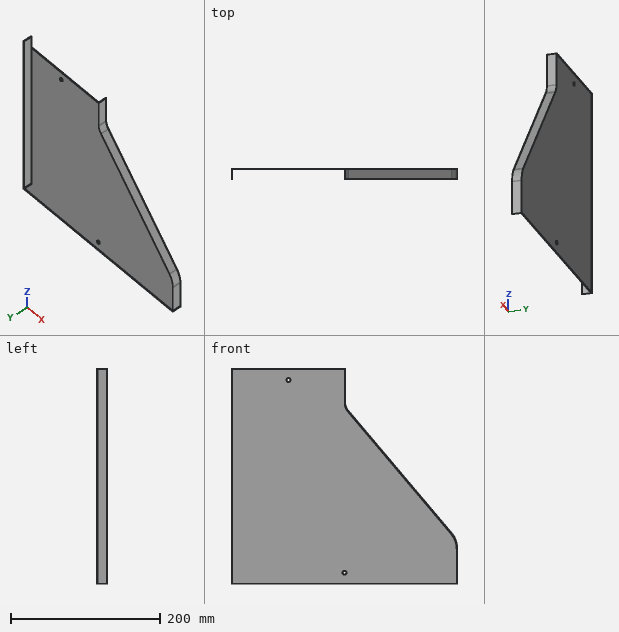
import cadquery as cq
import math

sheet = 1.0
base_width = 300.0
top_width = 150.0
height = 288.0
flange_depth = 14.0
upper_corner_drop = 51.4
lower_corner_rise = 59.0
convex_radius = 30.5
concave_radius = 18.0
hole_diameter = 5.0
hole_inset = 15.0

outer_base = base_width + 2 * sheet
outer_top = top_width + 2 * sheet
slope_angle = math.atan2(outer_base - outer_top, height - upper_corner_drop - lower_corner_rise)


def panel_outline(inset):
    """Panel outline on XZ, with both sides moved inward by the inset."""
    corner_shift = inset * math.tan(slope_angle / 2)
    left = inset
    right_base = outer_base - inset
    right_top = outer_top - inset
    lower_corner_z = lower_corner_rise - corner_shift
    upper_corner_z = height - upper_corner_drop - corner_shift
    convex = convex_radius + sheet - inset
    concave = concave_radius + inset

    sin_slope = math.sin(slope_angle)
    cos_slope = math.cos(slope_angle)
    sin_half = math.sin(slope_angle / 2)
    cos_half = math.cos(slope_angle / 2)

    convex_tangent = convex * math.tan(slope_angle / 2)
    convex_centre = (right_base - convex, lower_corner_z - convex_tangent)
    convex_start = (right_base, convex_centre[1])
    convex_mid = (convex_centre[0] + convex * cos_half, convex_centre[1] + convex * sin_half)
    convex_end = (convex_centre[0] + convex * cos_slope, convex_centre[1] + convex * sin_slope)

    concave_tangent = concave * math.tan(slope_angle / 2)
    concave_centre = (right_top + concave, upper_corner_z + concave_tangent)
    concave_start = (concave_centre[0] - concave * cos_slope, concave_centre[1] - concave * sin_slope)
    concave_mid = (concave_centre[0] - concave * cos_half, concave_centre[1] - concave * sin_half)
    concave_end = (right_top, concave_centre[1])

    return (
        cq.Workplane("XZ")
        .moveTo(left, 0)
        .lineTo(right_base, 0)
        .lineTo(*convex_start)
        .threePointArc(convex_mid, convex_end)
        .lineTo(*concave_start)
        .threePointArc(concave_mid, concave_end)
        .lineTo(right_top, height)
        .lineTo(left, height)
        .close()
    )


def flanged_panel():
    """Flat sheet at the back, with flanges standing forward along both sides."""
    block = panel_outline(0).extrude(flange_depth)
    space_between_flanges = panel_outline(sheet).extrude(flange_depth - sheet)
    return block.cut(space_between_flanges.translate((0, -sheet, 0)))


def mounting_holes():
    """One through hole centred near the top edge and one near the bottom edge."""
    centres = [
        (outer_top / 2, height - hole_inset),
        (outer_base / 2, hole_inset),
    ]
    return cq.Workplane("XZ").pushPoints(centres).circle(hole_diameter / 2).extrude(sheet)


result = flanged_panel().cut(mounting_holes())